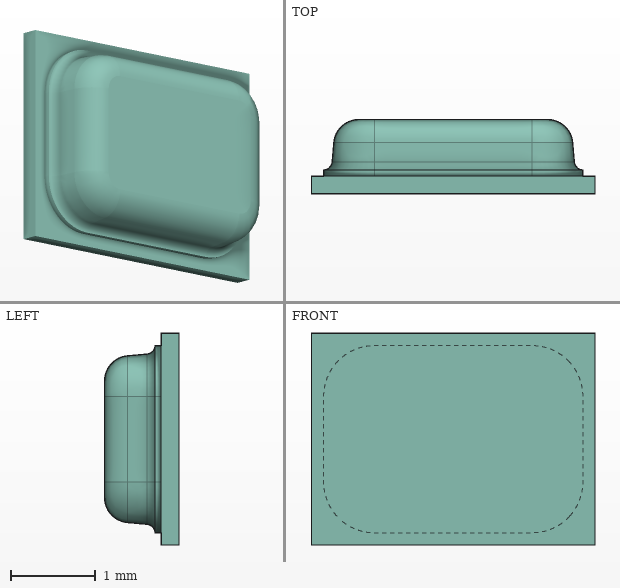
import cadquery as cq
import math

PLATE_WIDTH = 3.35
PLATE_HEIGHT = 2.5
TOTAL_DEPTH = 0.88
LID_DEPTH = 0.67
PLATE_THICKNESS = TOTAL_DEPTH - LID_DEPTH

FLANGE_MARGIN = 0.145
FLANGE_THICKNESS = 0.075
FLANGE_CORNER_RADIUS = 0.6
ROOT_RADIUS = 0.1
DOME_RADIUS = 0.3
WALL_DRAFT = math.radians(5)

CORNER_X = PLATE_WIDTH / 2 - FLANGE_MARGIN - FLANGE_CORNER_RADIUS
CORNER_Z = PLATE_HEIGHT / 2 - FLANGE_MARGIN - FLANGE_CORNER_RADIUS


def make_plate():
    return cq.Workplane("XY").box(
        PLATE_WIDTH, PLATE_THICKNESS, PLATE_HEIGHT
    ).translate((0, -PLATE_THICKNESS / 2, 0))


def point_on_arc(center, radius, angle):
    return (
        center[0] + radius * math.cos(angle),
        center[1] + radius * math.sin(angle),
    )


def rim_profile():
    """Lid section from a corner axis (x = 0) out to the flange edge; y is the depth."""
    root_center = (FLANGE_CORNER_RADIUS, FLANGE_THICKNESS + ROOT_RADIUS)
    wall_start = point_on_arc(root_center, ROOT_RADIUS, math.pi + WALL_DRAFT)
    root_middle_angle = (math.radians(270) + math.pi + WALL_DRAFT) / 2
    root_middle = point_on_arc(root_center, ROOT_RADIUS, root_middle_angle)

    dome_center_y = LID_DEPTH - DOME_RADIUS
    wall_end_y = dome_center_y + DOME_RADIUS * math.sin(WALL_DRAFT)
    wall_end_x = wall_start[0] - (wall_end_y - wall_start[1]) * math.tan(WALL_DRAFT)
    dome_center = (wall_end_x - DOME_RADIUS * math.cos(WALL_DRAFT), dome_center_y)
    dome_middle = point_on_arc(dome_center, DOME_RADIUS, (WALL_DRAFT + math.pi / 2) / 2)

    return (
        cq.Workplane("XY")
        .moveTo(0, 0)
        .lineTo(FLANGE_CORNER_RADIUS, 0)
        .lineTo(FLANGE_CORNER_RADIUS, FLANGE_THICKNESS)
        .threePointArc(root_middle, wall_start)
        .lineTo(wall_end_x, wall_end_y)
        .threePointArc(dome_middle, (dome_center[0], LID_DEPTH))
        .lineTo(0, LID_DEPTH)
        .close()
    )


def make_corner():
    """Quarter turn of the rim about the corner axis, from +X round to +Z."""
    return rim_profile().revolve(90, (0, 0), (0, -1))


def make_side(length):
    """Straight stretch of rim facing +X, centred on Z = 0."""
    return rim_profile().extrude(length / 2, both=True)


def turned(body, angle):
    return body.rotate((0, 0, 0), (0, 1, 0), angle)


def make_lid():
    lid = cq.Workplane("XY").box(2 * CORNER_X, LID_DEPTH, 2 * CORNER_Z).translate((0, LID_DEPTH / 2, 0))

    for angle in (0, 180):
        end = make_side(2 * CORNER_Z).translate((CORNER_X, 0, 0))
        lid = lid.union(turned(end, angle))
        long_side = make_side(2 * CORNER_X).translate((CORNER_Z, 0, 0))
        lid = lid.union(turned(long_side, angle + 90))

    corner_places = [
        (CORNER_X, CORNER_Z),
        (CORNER_X, -CORNER_Z),
        (-CORNER_X, -CORNER_Z),
        (-CORNER_X, CORNER_Z),
    ]
    for quarter, (x, z) in enumerate(corner_places):
        corner = turned(make_corner(), 90 * quarter)
        lid = lid.union(corner.translate((x, 0, z)))
    return lid


plate = make_plate()
lid = make_lid()

result = cq.Compound.makeCompound([plate.val(), lid.solids().val()])